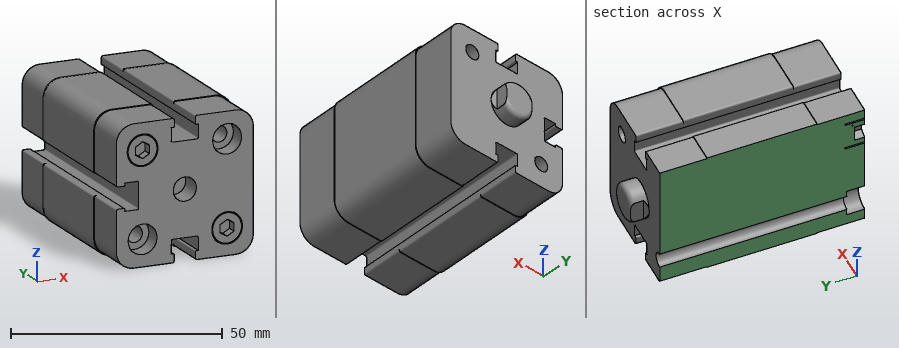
import cadquery as cq
import math


body_length = 53.0
cap_length = 12.25
barrel_width = 36.1
cap_width = 35.7
corner_radius = 4.6

slot_opening = 5.5
slot_width = 7.0
slot_floor_height = 12.0
lip_inner_height = 15.6
mouth_radius = 0.5
lip_inner_radius = 0.3
floor_radius = 0.4
cut_clearance = 1.0
slot_angles = (0, 90, 180)

bolt_offset = 11.0
mounting_hole_diameter = 4.13
mounting_counterbore_diameter = 7.5
mounting_counterbore_depth = 4.6
screw_recess_diameter = 8.0
screw_head_diameter = 7.5
screw_head_height = 5.0
socket_corner_diameter = 4.13
socket_depth = 2.5

center_hole_diameter = 6.0
center_hole_depth = 6.0

rod_diameter = 10.0
rod_projection = 4.5
rod_end_radius = 1.3
rod_flat_width = 8.0


def front_plane(y):
    """Sketch plane at the given Y, with local X = X, local Y = Z and its normal toward -Y."""
    return cq.Workplane("XZ", origin=(0, y, 0))


def slot_cutter(length, outer_height):
    """T-slot on the top side, with rounded mouth edges at outer_height."""
    half_opening = slot_opening / 2
    half_mouth = half_opening + mouth_radius
    clearance_height = outer_height + cut_clearance
    undercut = (
        front_plane(0)
        .center(0, (slot_floor_height + lip_inner_height) / 2)
        .rect(slot_width, lip_inner_height - slot_floor_height)
        .extrude(-length)
        .edges("|Y and <Z")
        .fillet(floor_radius)
    )
    arc_factor = 1 - math.sqrt(0.5)
    mouth_inset = mouth_radius * arc_factor
    lip_inset = lip_inner_radius * arc_factor
    mouth_arc_middle = (half_opening + mouth_inset, outer_height - mouth_inset)
    lip_arc_middle = (half_opening + lip_inset, lip_inner_height + lip_inset)
    lip_arc_end = (half_opening, lip_inner_height + lip_inner_radius)
    mouth = (
        front_plane(0)
        .moveTo(half_opening + lip_inner_radius, lip_inner_height)
        .threePointArc(lip_arc_middle, lip_arc_end)
        .lineTo(half_opening, outer_height - mouth_radius)
        .threePointArc(mouth_arc_middle, (half_mouth, outer_height))
        .lineTo(half_mouth, clearance_height)
        .lineTo(0, clearance_height)
        .lineTo(0, lip_inner_height)
        .close()
        .extrude(-length)
    )
    return undercut.union(mouth).union(mouth.mirror("YZ"))


def housing_section(width, start, length):
    """Rounded square length of housing with its three T-slots."""
    section = front_plane(0).rect(width, width).extrude(-length).edges("|Y").fillet(corner_radius)
    slot = slot_cutter(length, width / 2)
    for angle in slot_angles:
        section = section.cut(slot.rotate((0, 0, 0), (0, 1, 0), -angle))
    return section.translate((0, start, 0))


def cylinder(diameter, start, length, x=0, z=0):
    """Cylinder along +Y from the given start."""
    return front_plane(start).center(x, z).circle(diameter / 2).extrude(-length)


def mounting_hole(x, z):
    """Through hole with a counterbore in the front face."""
    bore = cylinder(mounting_hole_diameter, 0, body_length, x, z)
    return bore.union(cylinder(mounting_counterbore_diameter, 0, mounting_counterbore_depth, x, z))


def screw_recess(x, z):
    """Annular gap around a flush screw head, and the hexagon socket in the head."""
    gap = cylinder(screw_recess_diameter, 0, screw_head_height, x, z)
    gap = gap.cut(cylinder(screw_head_diameter, 0, screw_head_height, x, z))
    socket = (
        front_plane(0)
        .center(x, z)
        .transformed(rotate=(0, 0, 90))
        .polygon(6, socket_corner_diameter)
        .extrude(-socket_depth)
    )
    return gap.union(socket)


def piston_rod():
    """Rod end with a rounded tip and two wrench flats that run out at 45 degrees."""
    rod = cylinder(rod_diameter, body_length, rod_projection).faces(">Y").edges().fillet(rod_end_radius)
    half_flat = rod_flat_width / 2
    rod_radius = rod_diameter / 2
    runout = rod_radius - half_flat
    tip = body_length + rod_projection
    flat_cutter = (
        cq.Workplane("XY")
        .moveTo(rod_radius, body_length)
        .lineTo(rod_radius, tip)
        .lineTo(half_flat, tip)
        .lineTo(half_flat, body_length + runout)
        .close()
        .extrude(rod_radius, both=True)
    )
    return rod.cut(flat_cutter).cut(flat_cutter.mirror("YZ"))


barrel_length = body_length - 2 * cap_length
result = housing_section(cap_width, 0, cap_length)
result = result.union(housing_section(barrel_width, cap_length, barrel_length))
result = result.union(housing_section(cap_width, body_length - cap_length, cap_length))

for side in (1, -1):
    result = result.cut(mounting_hole(side * bolt_offset, side * bolt_offset))
    result = result.cut(screw_recess(-side * bolt_offset, side * bolt_offset))

result = result.cut(cylinder(center_hole_diameter, 0, center_hole_depth))
result = result.union(piston_rod())